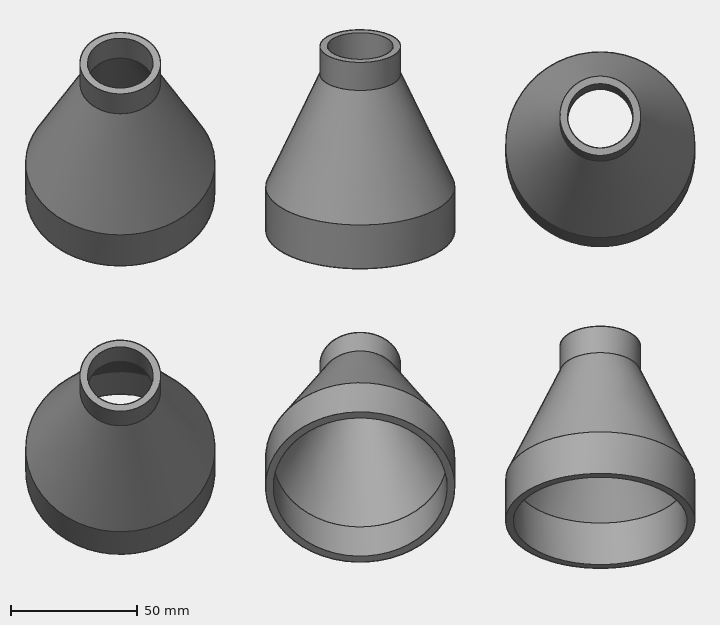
import cadquery as cq

total_height = 80.0
base_diameter = 75.0
base_height = 19.0
neck_diameter = 32.0
neck_height = 12.2
wall = 3.0

neck_bottom = total_height - neck_height


def reducer_solid(base_radius, neck_radius):
    """Revolve a stepped conical profile about the Z axis."""
    return (
        cq.Workplane("XZ")
        .moveTo(0, 0)
        .lineTo(base_radius, 0)
        .lineTo(base_radius, base_height)
        .lineTo(neck_radius, neck_bottom)
        .lineTo(neck_radius, total_height)
        .lineTo(0, total_height)
        .close()
        .revolve(360, (0, 0, 0), (0, 1, 0))
    )


outer_body = reducer_solid(base_diameter / 2, neck_diameter / 2)
inner_passage = reducer_solid(base_diameter / 2 - wall, neck_diameter / 2 - wall)

result = outer_body.cut(inner_passage)